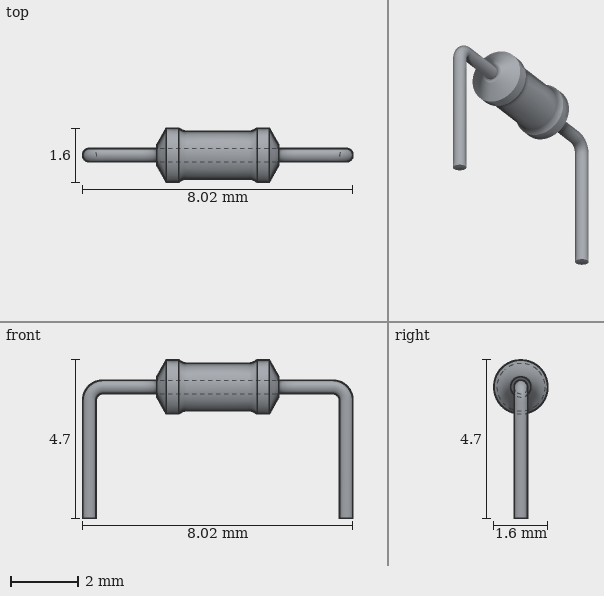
import cadquery as cq

span = 8.02
wire_diameter = 0.4
bend_radius = 0.4
leg_drop = 3.9

cap_diameter = 1.6
barrel_diameter = 1.42
end_face_diameter = 0.6
body_length = 3.61
cone_length = 0.28
cap_band_length = 0.36
neck_length = 0.19
neck_radius = 0.4

wire_radius = wire_diameter / 2
leg_x = span / 2 - wire_radius


def make_body():
    """Revolved barrel with two conical caps, concave necks and a bore for the wire."""
    end_x = body_length / 2
    cap_outer_x = end_x - cone_length
    cap_inner_x = cap_outer_x - cap_band_length
    barrel_x = cap_inner_x - neck_length
    cap_radius = cap_diameter / 2
    barrel_radius = barrel_diameter / 2
    profile = (
        cq.Workplane("XZ")
        .moveTo(-end_x, wire_radius)
        .lineTo(-end_x, end_face_diameter / 2)
        .lineTo(-cap_outer_x, cap_radius)
        .lineTo(-cap_inner_x, cap_radius)
        .radiusArc((-barrel_x, barrel_radius), -neck_radius)
        .lineTo(barrel_x, barrel_radius)
        .radiusArc((cap_inner_x, cap_radius), -neck_radius)
        .lineTo(cap_outer_x, cap_radius)
        .lineTo(end_x, end_face_diameter / 2)
        .lineTo(end_x, wire_radius)
        .close()
    )
    return profile.revolve(360, (0, 0, 0), (1, 0, 0))


def make_wire():
    """One round wire through the body, bent down at both ends."""
    straight_x = leg_x - bend_radius
    path = (
        cq.Workplane("XZ")
        .moveTo(-leg_x, -leg_drop)
        .lineTo(-leg_x, -bend_radius)
        .radiusArc((-straight_x, 0), bend_radius)
        .lineTo(straight_x, 0)
        .radiusArc((leg_x, -bend_radius), bend_radius)
        .lineTo(leg_x, -leg_drop)
    )
    tip = cq.Workplane("XY", origin=(-leg_x, 0, -leg_drop))
    return tip.circle(wire_radius).sweep(path)


body = make_body()
wire = make_wire()

result = cq.Compound.makeCompound([body.val(), wire.val()])